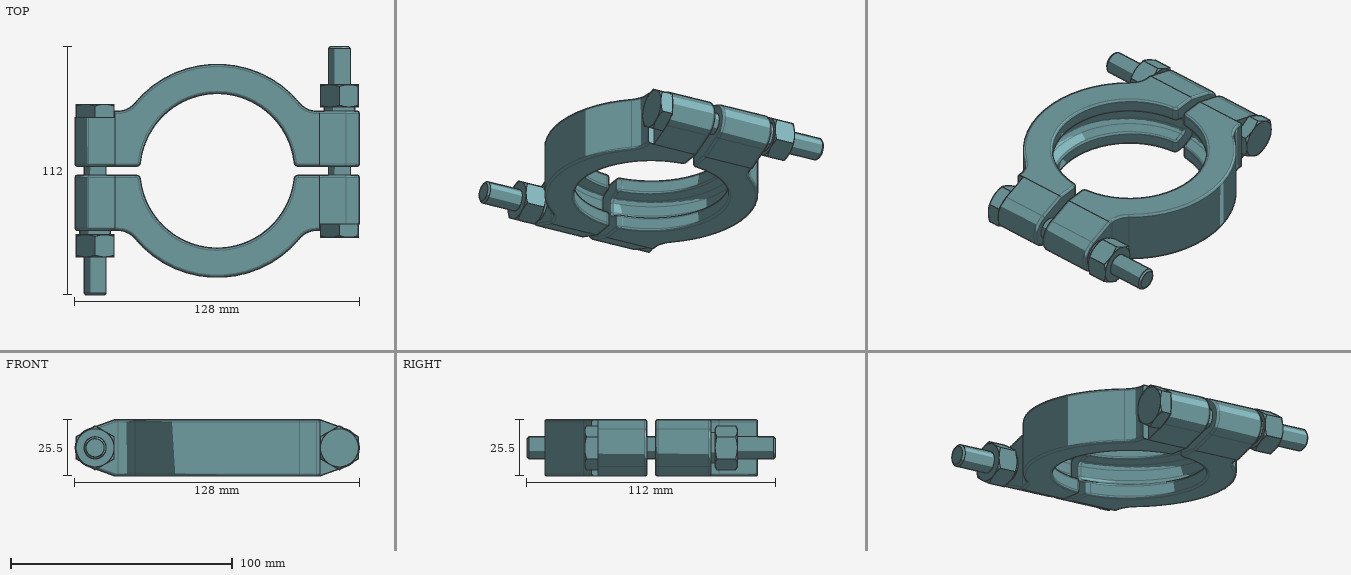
import cadquery as cq
import math

overall_length = 128.0
overall_width = 112.0
thickness = 25.5
ring_outer_radius = 48.0
ring_inner_radius = 34.8
gap = 4.0
ear_end = 26.9
ear_nose_radius = 9.0
ear_taper_start = 46.1
ear_blend_radius = 10.0
edge_fillet = 1.0
bore_corner_fillet = 1.9

groove_mouth_width = 12.4
groove_radius = 41.0
groove_wall_angle = 20.0
groove_root_fillet = 2.3
groove_overrun = 2.5

bolt_radius = 5.0
bolt_end_chamfer = 0.9
hex_across_flats = 17.2
hex_chamfer_angle = 30.0
head_seat = 24.0
head_height = 6.0
nut_start = 28.8
nut_height = 10.0
washer_radius = 6.9
seat_wall = 46.3

half_length = overall_length / 2
half_thickness = thickness / 2
half_gap = gap / 2
bolt_end = overall_width / 2
bolt_x = half_length - ear_nose_radius
hex_corner_radius = hex_across_flats / 2 / math.cos(math.radians(30))


def ring_and_ears():
    """Plan outline of one half, on the +Y side, with a plain bore."""
    blend_y = ear_end + ear_blend_radius
    centre_distance = ring_outer_radius + ear_blend_radius
    blend_x = math.sqrt(centre_distance**2 - blend_y**2)
    ratio = ring_outer_radius / centre_distance
    ring_x, ring_y = blend_x * ratio, blend_y * ratio
    to_ring = math.atan2(-blend_y, -blend_x)
    to_ear = math.radians(-90)
    mid_angle = (to_ring + to_ear) / 2
    mid_x = blend_x + ear_blend_radius * math.cos(mid_angle)
    mid_y = blend_y + ear_blend_radius * math.sin(mid_angle)
    bore_x = math.sqrt(ring_inner_radius**2 - half_gap**2)
    return (
        cq.Workplane("XY")
        .workplane(offset=-half_thickness)
        .moveTo(bore_x, half_gap)
        .lineTo(half_length, half_gap)
        .lineTo(half_length, ear_end)
        .lineTo(blend_x, ear_end)
        .threePointArc((mid_x, mid_y), (ring_x, ring_y))
        .threePointArc((0, ring_outer_radius), (-ring_x, ring_y))
        .threePointArc((-mid_x, mid_y), (-blend_x, ear_end))
        .lineTo(-half_length, ear_end)
        .lineTo(-half_length, half_gap)
        .lineTo(-bore_x, half_gap)
        .threePointArc((0, ring_inner_radius), (bore_x, half_gap))
        .close()
        .extrude(thickness)
    )


def tapered_envelope():
    """Cross-section with flanks tangent to the round ear noses, run along Y."""
    run = bolt_x - ear_taper_start
    to_corner = math.atan2(half_thickness, -run)
    spread = math.acos(ear_nose_radius / math.hypot(run, half_thickness))
    tangent_angle = to_corner - spread
    tangent_x = bolt_x + ear_nose_radius * math.cos(tangent_angle)
    tangent_z = ear_nose_radius * math.sin(tangent_angle)
    return (
        cq.Workplane("XZ")
        .moveTo(-ear_taper_start, half_thickness)
        .lineTo(ear_taper_start, half_thickness)
        .lineTo(tangent_x, tangent_z)
        .threePointArc((half_length, 0), (tangent_x, -tangent_z))
        .lineTo(ear_taper_start, -half_thickness)
        .lineTo(-ear_taper_start, -half_thickness)
        .lineTo(-tangent_x, -tangent_z)
        .threePointArc((-half_length, 0), (-tangent_x, tangent_z))
        .close()
        .extrude(-2 * ring_outer_radius)
    )


def groove():
    """Revolved V-groove cutter with sloping walls and rounded root."""
    slope = math.tan(math.radians(groove_wall_angle))
    half_mouth = groove_mouth_width / 2
    half_root = half_mouth - (groove_radius - ring_inner_radius) * slope
    start_radius = ring_inner_radius - groove_overrun
    half_start = half_mouth + groove_overrun * slope
    return (
        cq.Workplane("XZ")
        .moveTo(start_radius, -half_start)
        .lineTo(groove_radius, -half_root)
        .lineTo(groove_radius, half_root)
        .lineTo(start_radius, half_start)
        .close()
        .revolve(360, (0, 0), (0, 1))
        .edges(cq.selectors.RadiusNthSelector(-1))
        .fillet(groove_root_fillet)
    )


def clamp_half():
    """Half clamp on the +Y side, with the bolt-head seat on its -X ear."""
    body = ring_and_ears().intersect(tapered_envelope()).cut(groove())
    bore_limit = (ring_inner_radius + groove_radius) / 2
    bore_corners = cq.selectors.BoxSelector(
        (-bore_limit, 0, -thickness), (bore_limit, gap, thickness)
    )
    body = body.edges("|Z").edges(bore_corners).fillet(bore_corner_fillet)
    rims = body.faces("<Y").edges()
    rims = rims.add(body.faces("|Y").edges("not |Z"))
    rims = rims.add(body.faces("|Z").edges("not |Y"))
    rims = rims.add(body.edges(cq.selectors.RadiusNthSelector(3)))
    body = body.newObject(rims.vals()).fillet(edge_fillet)
    seat = cq.Workplane("XY").box(
        half_length, half_length, thickness, centered=(False, False, True)
    )
    return body.cut(seat.translate((-seat_wall - half_length, head_seat, 0)))


def half_turn(shape):
    """Shape turned by 180 degrees about the Z axis."""
    return shape.rotate((0, 0, 0), (0, 0, 1), 180)


def cylinder(radius, start, end):
    """Cylinder about the Y axis between two Y positions."""
    return cq.Workplane("XZ", origin=(0, start, 0)).circle(radius).extrude(start - end)


def hexagon(start, end, chamfer_start):
    """Hexagon about the Y axis with flats facing X.

    Its corners are coned off at the far end, and at the start too if chamfer_start is set.
    """
    height = end - start
    flat_radius = hex_across_flats / 2
    drop = (hex_corner_radius - flat_radius) * math.tan(math.radians(hex_chamfer_angle))
    prism = (
        cq.Workplane("XZ", origin=(0, start, 0))
        .polygon(6, 2 * hex_corner_radius)
        .extrude(-height)
        .rotate((0, 0, 0), (0, 1, 0), 30)
    )
    profile = cq.Workplane("XY").moveTo(0, start)
    if chamfer_start:
        profile = profile.lineTo(flat_radius, start).lineTo(hex_corner_radius, start + drop)
    else:
        profile = profile.lineTo(hex_corner_radius, start)
    turned = (
        profile.lineTo(hex_corner_radius, end - drop)
        .lineTo(flat_radius, end)
        .lineTo(0, end)
        .close()
        .revolve(360, (0, 0), (0, 1))
    )
    return prism.intersect(turned)


def fastener():
    """Bolt on the +X ears, head towards -Y, with washer and nut towards +Y."""
    shank = cylinder(bolt_radius, -head_seat, bolt_end)
    shank = shank.faces(">Y").chamfer(bolt_end_chamfer)
    head = half_turn(hexagon(head_seat, head_seat + head_height, chamfer_start=False))
    washer = cylinder(washer_radius, ear_end, nut_start)
    nut = hexagon(nut_start, nut_start + nut_height, chamfer_start=True)
    return shank.union(head).union(washer).union(nut).translate((bolt_x, 0, 0))


half_set = clamp_half().union(fastener())
result = half_set.union(half_turn(half_set))